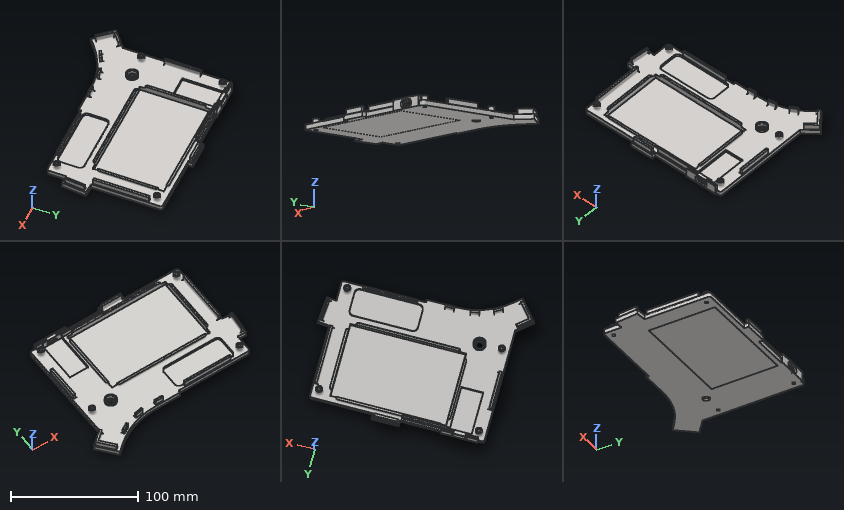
import cadquery as cq
import math

PLATE_LENGTH = 142.2
PLATE_WIDTH = 98.6
PLATE_THICKNESS = 4.2
CORNER_RADIUS = 2.0
TOTAL_HEIGHT = 8.8
RIB_HEIGHT = TOTAL_HEIGHT - PLATE_THICKNESS

LIP_DEPTH = 2.2
LIP_END_X = 73.7
ARM_ANGLE = 40.0
ARM_ROOT_Y = 4.23
ARM_LENGTH = 16.4
ARM_WIDTH = 21.3
ARM_BLEND_RADIUS = 65.5

TOP_TAB_X = 68.6
TOP_TAB_WIDTH = 22.0
TOP_TAB_REACH = 4.0
SIDE_TAB_ANGLE = 5.0
SIDE_TAB_WIDTH = 21.2
SIDE_TAB_TOP_X = 151.8
SIDE_TAB_TOP_Y = 37.3

RIB_THICKNESS = 2.0
RIB_FILLET = 1.2
RIB_INSET = 1.0
LEFT_RIB_TOP_Y = 72.1
LEFT_RIB_LENGTH = 31.2
RIGHT_RIB_Y = 39.1
RIGHT_RIB_LENGTH = 47.8
LOWER_RIB_X = 80.2
LOWER_RIB_LENGTH = 44.4
TOP_TAB_RIB_LENGTH = 19.0
SIDE_TAB_RIB_LENGTH = 17.2
SIDE_TAB_RIB_INSET = 1.45
ARM_END_RIB_LENGTH = 17.2
ARM_SIDE_RIB_LENGTH = 12.7
CLIP_LENGTH = 7.3
CLIP_THICKNESS = 1.7
CLIPS = [(50.7, -1.1, 0), (30.8, -2.9, 10), (14.1, -10.2, 29)]

POCKET_X = 32.4
POCKET_Y = 32.5
POCKET_LENGTH = 94.2
POCKET_WIDTH = 61.0
POCKET_DEPTH = 3.6
RAIL_HEIGHT = 2.0
RAIL_THICKNESS = 2.0
RAIL_END_INSET = 4.7
RAIL_CORNER_RADIUS = 2.0
RAIL_FILLET = 1.25

RECESS_X = 11.1
RECESS_Y = 59.8
RECESS_LENGTH = 17.8
RECESS_WIDTH = 36.7
RECESS_DEPTH = 2.0
TRAY_X = 74.5
TRAY_Y = 2.9
TRAY_LENGTH = 55.6
TRAY_WIDTH = 22.5
TRAY_DEPTH = 2.0
TRAY_CORNER_RADIUS = 4.0

CONNECTOR_X = 4.95
CONNECTOR_LENGTH = 30.2
CONNECTOR_OVERHANG = 1.0
CONNECTOR_THICKNESS = 2.2
CONNECTOR_END_RADIUS = 1.4
NOTCH_DEPTH = 0.5
NOTCH_LENGTH = 10.5
SLOT_LENGTH = 9.1
SLOT_HEIGHT = 3.2
SLOT_LIFT = 0.2
SLOT_MARGIN = 1.5
SLOT_LIP = 1.1

BACK_WALL_END_X = 67.5
BACK_WALL_THICKNESS = 1.5

BOSS_CENTRES = [(5.95, 92.2), (5.95, 22.4), (136.2, 91.7), (136.2, 6.0)]
BOSS_DIAMETER = 5.2
BOSS_HOLE_DIAMETER = 2.5
BOSS_FILLET = 2.0
RING_CENTRE = (24.05, 22.4)
RING_HEIGHT = 2.0
RING_DIAMETER = 10.0
RING_BORE_DIAMETER = 8.0
RING_BORE_DEPTH = 4.0
RING_HOLE_DIAMETER = 6.0


def box(x, y, z, length, width, height):
    """Box given by its lower corner and its sizes."""
    return cq.Workplane("XY").box(length, width, height, centered=False).translate((x, y, z))


def along(angle, distance, start):
    """Point at a distance from the start, in the direction of the angle in degrees."""
    radians = math.radians(angle)
    return (start[0] + distance * math.cos(radians), start[1] + distance * math.sin(radians))


ARM_ROOT = (0, ARM_ROOT_Y)
ARM_TIP = along(180 + ARM_ANGLE, ARM_LENGTH, ARM_ROOT)
ARM_HEEL = along(ARM_ANGLE - 90, ARM_WIDTH, ARM_TIP)
BLEND_RISE = ARM_BLEND_RADIUS * (1 - math.cos(math.radians(ARM_ANGLE)))
ARM_STRAIGHT = (-LIP_DEPTH - BLEND_RISE - ARM_HEEL[1]) / math.sin(math.radians(ARM_ANGLE))
BLEND_START = along(ARM_ANGLE, ARM_STRAIGHT, ARM_HEEL)
BLEND_END = (BLEND_START[0] + ARM_BLEND_RADIUS * math.sin(math.radians(ARM_ANGLE)), -LIP_DEPTH)
BLEND_CENTRE = (BLEND_END[0], BLEND_END[1] - ARM_BLEND_RADIUS)

SIDE_TAB_TOP = (SIDE_TAB_TOP_X, SIDE_TAB_TOP_Y)
SIDE_TAB_BOTTOM = along(-90 - SIDE_TAB_ANGLE, SIDE_TAB_WIDTH, SIDE_TAB_TOP)


def make_plate():
    plate = box(0, 0, 0, PLATE_LENGTH, PLATE_WIDTH, PLATE_THICKNESS)
    plate = plate.edges("|Z").edges(">X or >Y").fillet(CORNER_RADIUS)

    arm = (
        cq.Workplane("XY")
        .moveTo(*ARM_ROOT)
        .lineTo(*ARM_TIP)
        .lineTo(*ARM_HEEL)
        .lineTo(*BLEND_START)
        .threePointArc(along(90 + ARM_ANGLE / 2, ARM_BLEND_RADIUS, BLEND_CENTRE), BLEND_END)
        .lineTo(LIP_END_X, -LIP_DEPTH)
        .lineTo(LIP_END_X, ARM_ROOT_Y)
        .close()
        .extrude(PLATE_THICKNESS)
    )
    top_tab = box(
        TOP_TAB_X, PLATE_WIDTH - CORNER_RADIUS, 0,
        TOP_TAB_WIDTH, TOP_TAB_REACH + CORNER_RADIUS, PLATE_THICKNESS,
    )
    tab_root = 2 * (SIDE_TAB_TOP_X - PLATE_LENGTH)
    side_tab = (
        cq.Workplane("XY")
        .polyline([
            SIDE_TAB_TOP,
            SIDE_TAB_BOTTOM,
            along(180 - SIDE_TAB_ANGLE, tab_root, SIDE_TAB_BOTTOM),
            along(180 - SIDE_TAB_ANGLE, tab_root, SIDE_TAB_TOP),
        ])
        .close()
        .extrude(PLATE_THICKNESS)
    )
    return plate.union(arm).union(top_tab).union(side_tab)


def make_rib(start, angle, length, thickness=RIB_THICKNESS):
    """Rib whose outer face runs from the start along the angle, filleted on its left side."""
    arc_middle = RIB_FILLET * (1 - math.sin(math.radians(45)))
    profile = (
        cq.Workplane("YZ")
        .lineTo(thickness + RIB_FILLET, 0)
        .threePointArc((thickness + arc_middle, arc_middle), (thickness, RIB_FILLET))
        .lineTo(thickness, RIB_HEIGHT)
        .lineTo(0, RIB_HEIGHT)
        .close()
    )
    rib = profile.extrude(length).rotate((0, 0, 0), (0, 0, 1), angle)
    return rib.translate((start[0], start[1], PLATE_THICKNESS))


def make_edge_ribs():
    top_rib_x = TOP_TAB_X + (TOP_TAB_WIDTH + TOP_TAB_RIB_LENGTH) / 2
    top_rib_y = PLATE_WIDTH + TOP_TAB_REACH - RIB_INSET
    side_edge = along(180 - SIDE_TAB_ANGLE, SIDE_TAB_RIB_INSET, SIDE_TAB_BOTTOM)
    side_margin = (SIDE_TAB_WIDTH - SIDE_TAB_RIB_LENGTH) / 2
    side_start = along(90 - SIDE_TAB_ANGLE, side_margin, side_edge)
    return [
        make_rib((RIB_INSET, LEFT_RIB_TOP_Y), -90, LEFT_RIB_LENGTH),
        make_rib((PLATE_LENGTH - RIB_INSET, RIGHT_RIB_Y), 90, RIGHT_RIB_LENGTH),
        make_rib((top_rib_x, top_rib_y), 180, TOP_TAB_RIB_LENGTH),
        make_rib(side_start, 90 - SIDE_TAB_ANGLE, SIDE_TAB_RIB_LENGTH, CLIP_THICKNESS),
        box(LOWER_RIB_X, RIB_INSET, PLATE_THICKNESS, LOWER_RIB_LENGTH, CLIP_THICKNESS, RIB_HEIGHT),
    ]


def make_arm_ribs():
    """Two ribs meeting at the outer corner of the arm."""
    across = ARM_ANGLE - 90
    corner = along(ARM_ANGLE, RIB_INSET, along(across, RIB_INSET, ARM_TIP))
    side_start = along(ARM_ANGLE, ARM_SIDE_RIB_LENGTH, corner)
    return [
        make_rib(corner, across, ARM_END_RIB_LENGTH),
        make_rib(side_start, 180 + ARM_ANGLE, ARM_SIDE_RIB_LENGTH),
    ]


def make_clips():
    """Short ribs along the lower edge."""
    return [make_rib((x, y), angle, CLIP_LENGTH, CLIP_THICKNESS) for x, y, angle in CLIPS]


def make_rail_block(x_margin, y_margin):
    """Rounded block around the pocket, with a concave fillet where it meets the plate."""
    length = POCKET_LENGTH + 2 * x_margin
    width = POCKET_WIDTH + 2 * y_margin
    skirt = 2 * RAIL_FILLET
    base = cq.Workplane("XY").rect(length + 2 * skirt, width + 2 * skirt).extrude(-RAIL_HEIGHT)
    block = cq.Workplane("XY").rect(length, width).extrude(RAIL_HEIGHT)
    block = block.edges("|Z").fillet(RAIL_CORNER_RADIUS)
    inner = cq.selectors.BoxSelector(
        (-length / 2 - RAIL_FILLET, -width / 2 - RAIL_FILLET, -RAIL_FILLET / 2),
        (length / 2 + RAIL_FILLET, width / 2 + RAIL_FILLET, RAIL_FILLET / 2),
        boundingbox=True,
    )
    block = base.union(block).edges(inner).fillet(RAIL_FILLET)
    centre = (POCKET_X + POCKET_LENGTH / 2, POCKET_Y + POCKET_WIDTH / 2, PLATE_THICKNESS)
    return block.translate(centre)


def make_connector_wall():
    front_y = PLATE_WIDTH + CONNECTOR_OVERHANG - CONNECTOR_THICKNESS
    wall = box(CONNECTOR_X, front_y, 0, CONNECTOR_LENGTH, CONNECTOR_THICKNESS, TOTAL_HEIGHT)
    wall = wall.faces(">Z").edges("|Y").fillet(CONNECTOR_END_RADIUS)
    block_y = RECESS_Y + RECESS_WIDTH
    block = box(RECESS_X, block_y, 0, RECESS_LENGTH, PLATE_WIDTH - block_y, TOTAL_HEIGHT)
    wall = wall.union(block)
    notch = (
        cq.Workplane("XZ", origin=(CONNECTOR_X, PLATE_WIDTH, TOTAL_HEIGHT))
        .lineTo(NOTCH_LENGTH, 0)
        .lineTo(0, -NOTCH_DEPTH)
        .close()
        .extrude(PLATE_WIDTH - front_y)
    )
    middle = (CONNECTOR_X + CONNECTOR_LENGTH / 2, 0, 0)
    return wall.cut(notch).cut(notch.mirror("YZ", middle))


def make_connector_slot():
    """Rounded slot just above the recess floor, widened toward the outside for the plug."""
    slot_x = CONNECTOR_X + CONNECTOR_LENGTH / 2
    outer_y = PLATE_WIDTH + CONNECTOR_OVERHANG
    inner_y = RECESS_Y + RECESS_WIDTH
    slot_z = PLATE_THICKNESS - RECESS_DEPTH + SLOT_LIFT + SLOT_HEIGHT / 2
    outside = cq.Workplane("XZ", origin=(slot_x, outer_y, slot_z))
    slot = outside.slot2D(SLOT_LENGTH, SLOT_HEIGHT).extrude(outer_y - inner_y)
    clearance = outside.slot2D(SLOT_LENGTH + 2 * SLOT_MARGIN, SLOT_HEIGHT + 2 * SLOT_MARGIN)
    return slot.union(clearance.extrude(outer_y - inner_y - SLOT_LIP))


def make_boss(centre):
    radius = BOSS_DIAMETER / 2
    arc_middle = BOSS_FILLET * (1 - math.sin(math.radians(45)))
    boss = (
        cq.Workplane("XZ")
        .lineTo(radius + BOSS_FILLET, 0)
        .threePointArc((radius + arc_middle, arc_middle), (radius, BOSS_FILLET))
        .lineTo(radius, RIB_HEIGHT)
        .lineTo(0, RIB_HEIGHT)
        .close()
        .revolve(360, (0, 0, 0), (0, 1, 0))
    )
    return boss.translate((centre[0], centre[1], PLATE_THICKNESS))


def make_cylinder(centre, diameter, bottom, top):
    disc = cq.Workplane("XY").circle(diameter / 2).extrude(top - bottom)
    return disc.translate((centre[0], centre[1], bottom))


def build():
    part = make_plate()

    part = part.union(make_rail_block(RAIL_THICKNESS, -RAIL_END_INSET))
    part = part.union(make_rail_block(-RAIL_END_INSET, RAIL_THICKNESS))
    pocket_floor = PLATE_THICKNESS - POCKET_DEPTH
    part = part.cut(box(POCKET_X, POCKET_Y, pocket_floor, POCKET_LENGTH, POCKET_WIDTH, TOTAL_HEIGHT))

    part = part.cut(box(
        RECESS_X, RECESS_Y, PLATE_THICKNESS - RECESS_DEPTH, RECESS_LENGTH, RECESS_WIDTH, TOTAL_HEIGHT,
    ))
    tray = box(TRAY_X, TRAY_Y, PLATE_THICKNESS - TRAY_DEPTH, TRAY_LENGTH, TRAY_WIDTH, TRAY_DEPTH)
    part = part.cut(tray.edges("|Z").fillet(TRAY_CORNER_RADIUS))

    back_wall_x = RECESS_X + RECESS_LENGTH
    back_wall_y = POCKET_Y + POCKET_WIDTH + RAIL_THICKNESS
    part = part.union(box(
        back_wall_x, back_wall_y, PLATE_THICKNESS,
        BACK_WALL_END_X - back_wall_x, BACK_WALL_THICKNESS, RIB_HEIGHT,
    ))
    part = part.union(make_connector_wall()).cut(make_connector_slot())

    for rib in make_edge_ribs() + make_arm_ribs() + make_clips():
        part = part.union(rib)

    for centre in BOSS_CENTRES:
        part = part.union(make_boss(centre))
    for centre in BOSS_CENTRES:
        part = part.cut(make_cylinder(centre, BOSS_HOLE_DIAMETER, 0, TOTAL_HEIGHT))

    ring_top = PLATE_THICKNESS + RING_HEIGHT
    part = part.union(make_cylinder(RING_CENTRE, RING_DIAMETER, PLATE_THICKNESS, ring_top))
    part = part.cut(make_cylinder(RING_CENTRE, RING_BORE_DIAMETER, ring_top - RING_BORE_DEPTH, ring_top))
    return part.cut(make_cylinder(RING_CENTRE, RING_HOLE_DIAMETER, 0, ring_top))


result = build()